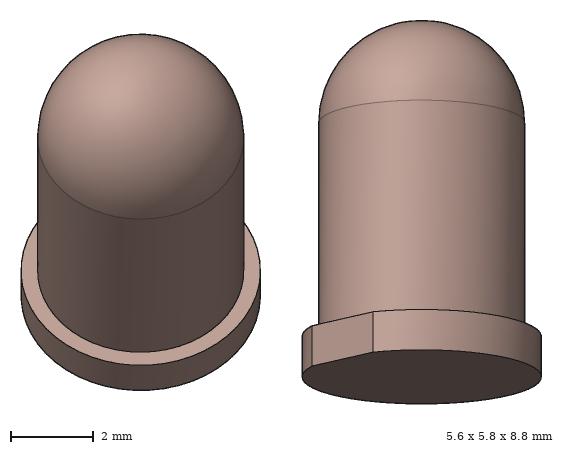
import cadquery as cq

total_height = 8.8
body_diameter = 5.0
flange_diameter = 5.8
flange_height = 1.0
flat_distance = 2.7

body_radius = body_diameter / 2
flange_radius = flange_diameter / 2
dome_base = total_height - body_radius


def make_flange():
    """Round flange, cut flat on the -X side."""
    disc = cq.Workplane("XY").circle(flange_radius).extrude(flange_height)
    keep = (
        cq.Workplane("XY")
        .box(flat_distance + flange_radius, flange_diameter, flange_height, centered=(False, True, False))
        .translate((-flat_distance, 0, 0))
    )
    return disc.intersect(keep)


def make_lens():
    """Cylinder topped by a hemisphere of the same radius."""
    cylinder = cq.Workplane("XY").circle(body_radius).extrude(dome_base)
    dome = (
        cq.Workplane("XZ")
        .moveTo(0, dome_base)
        .lineTo(body_radius, dome_base)
        .radiusArc((0, total_height), -body_radius)
        .close()
        .revolve(360, (0, 0, 0), (0, 1, 0))
    )
    return cylinder.union(dome)


result = make_flange().union(make_lens())